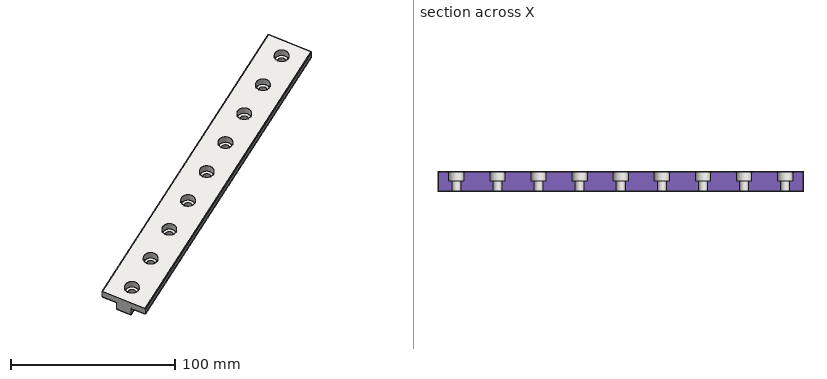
import cadquery as cq

length = 222.0
flange_width = 29.9
total_height = 12.0
stem_width = 10.0
stem_height = 6.4

edge_bevel = 0.5

hole_count = 9
hole_pitch = 25.0
hole_diameter = 5.2
counterbore_diameter = 9.0
counterbore_depth = 5.5


def make_rail():
    """Extrude the T-section, flange uppermost, with its flange corners bevelled."""
    half_flange = flange_width / 2
    half_stem = stem_width / 2
    right_half = [
        (half_stem, 0),
        (half_stem, stem_height),
        (half_flange - edge_bevel, stem_height),
        (half_flange, stem_height + edge_bevel),
        (half_flange, total_height - edge_bevel),
        (half_flange - edge_bevel, total_height),
    ]
    left_half = [(-x, z) for x, z in reversed(right_half)]
    section = cq.Workplane("XZ").polyline(right_half + left_half).close()
    return section.extrude(length / 2, both=True)


def drill_screw_holes(rail):
    """Drill the evenly spaced counterbored holes down through flange and stem."""
    return (
        rail.faces(">Z")
        .workplane(origin=(0, 0, total_height))
        .rarray(1, hole_pitch, 1, hole_count)
        .cboreHole(hole_diameter, counterbore_diameter, counterbore_depth)
    )


result = drill_screw_holes(make_rail())